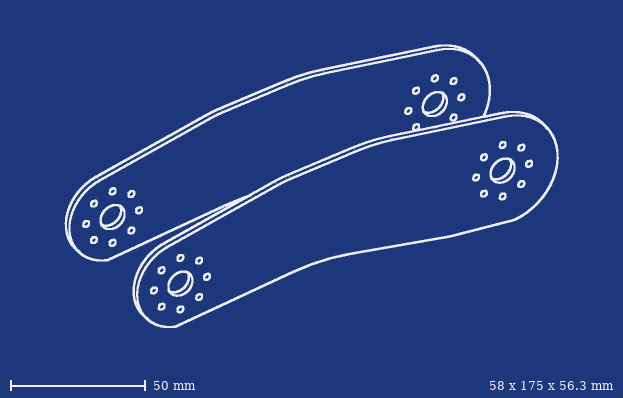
import cadquery as cq
import math

overall_width = 58.0
plate_thickness = 3.0

overall_length = 175.0
large_radius = 23.0
small_radius = 18.0
hub_drop = 13.0
large_hub = (0.0, 0.0)
small_hub = (-(overall_length - large_radius - small_radius), -hub_drop)

top_main_bend = (-53.4, 25.7)
top_small_bend = (-90.8, 19.5)
bottom_main_bend = (-75.5, -17.8)
bottom_small_bend = (-21.9, -22.4)
top_main_bend_radius = 70.0
bottom_main_bend_radius = 80.5
top_small_bend_radius = 42.0

small_end_corner_offset = 2.1

bore_diameter = 10.0
bolt_circle_radius = 11.0
bolt_hole_diameter = 2.5
bolt_count = 8


def point_on_circle(center, radius, angle):
    """Point at an angle in radians, measured from +Y toward +Z."""
    return (center[0] + radius * math.cos(angle), center[1] + radius * math.sin(angle))


def tangent_angle(center, radius, point, side):
    """Angle on the circle where a line from an outside point touches it; side is +1 or -1."""
    dy = point[0] - center[0]
    dz = point[1] - center[1]
    return math.atan2(dz, dy) + side * math.acos(radius / math.hypot(dy, dz))


def plate_outline():
    """Closed outline: two round ends joined by bent long edges."""
    large_start = math.asin(bottom_small_bend[1] / large_radius)
    large_end = tangent_angle(large_hub, large_radius, top_main_bend, -1)

    small_start = tangent_angle(small_hub, small_radius, top_small_bend, 1)
    small_end = 1.5 * math.pi - math.asin(small_end_corner_offset / small_radius)

    return (
        cq.Workplane("YZ")
        .moveTo(*point_on_circle(large_hub, large_radius, large_start))
        .threePointArc(
            point_on_circle(large_hub, large_radius, (large_start + large_end) / 2),
            point_on_circle(large_hub, large_radius, large_end),
        )
        .lineTo(*top_main_bend)
        .lineTo(*top_small_bend)
        .lineTo(*point_on_circle(small_hub, small_radius, small_start))
        .threePointArc(
            point_on_circle(small_hub, small_radius, (small_start + small_end) / 2),
            point_on_circle(small_hub, small_radius, small_end),
        )
        .lineTo(*bottom_main_bend)
        .lineTo(*bottom_small_bend)
        .close()
    )


def round_bend(plate, bend, radius):
    """Round the edge across the plate thickness at one bend."""
    edge_middle = (plate_thickness / 2, *bend)
    return plate.edges(cq.NearestToPointSelector(edge_middle)).fillet(radius)


def hub_holes(hub):
    """Central bore and ring of bolt holes, as a cutter through the plate."""
    bore = cq.Workplane("YZ").center(*hub).circle(bore_diameter / 2).extrude(plate_thickness)
    bolt_holes = (
        cq.Workplane("YZ")
        .center(*hub)
        .polarArray(bolt_circle_radius, 0, 360, bolt_count)
        .circle(bolt_hole_diameter / 2)
        .extrude(plate_thickness)
    )
    return bore.union(bolt_holes)


def make_plate(start_x):
    """One complete plate whose -X face lies at start_x."""
    plate = plate_outline().extrude(plate_thickness)
    plate = round_bend(plate, top_main_bend, top_main_bend_radius)
    plate = round_bend(plate, top_small_bend, top_small_bend_radius)
    plate = round_bend(plate, bottom_main_bend, bottom_main_bend_radius)
    for hub in (large_hub, small_hub):
        plate = plate.cut(hub_holes(hub))
    return plate.translate((start_x, 0, 0))


plate_starts = (-overall_width / 2, overall_width / 2 - plate_thickness)
plates = [make_plate(start_x) for start_x in plate_starts]

result = cq.Compound.makeCompound([plate.solids().val() for plate in plates])